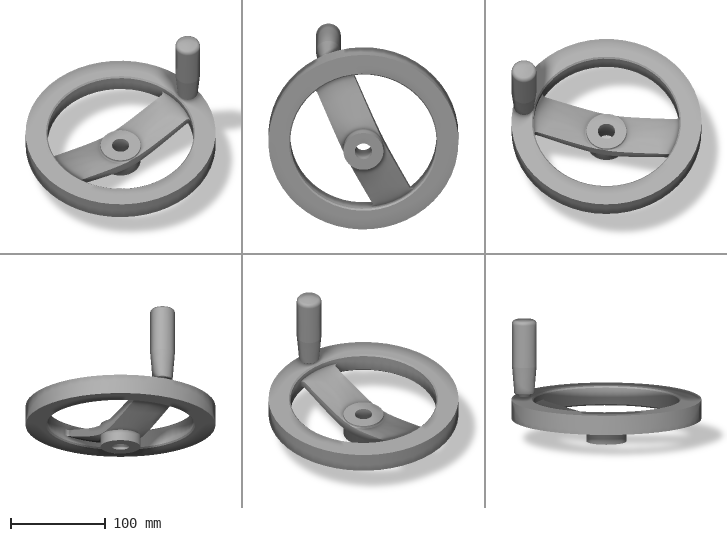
import cadquery as cq
import math

rim_outer_radius = 100.0
rim_inner_radius = 77.0
rim_bottom = 24.5
rim_top = 45.0
rim_chamfer = 1.5

hub_radius = 21.0
hub_top = 24.5
hub_fillet = 1.3
bore_diameter = 18.0

spoke_width = 43.0
spoke_corner_fillet = 3.0
web_lower_hub_height = 11.7
web_lower_angle = 19.0
web_upper_hub_height = 21.6
web_upper_angle = 16.0
web_rim_overlap = 1.5

handle_offset = 88.5
neck_radius = 6.5
grip_bottom = 47.7
grip_foot_radius = 10.6
grip_foot_chamfer = 0.7
grip_taper_top = 77.2
grip_radius = 13.0
handle_top = 127.5
dome_edge_radius = 10.0
dome_height = 1.2
grip_end_fillet = 4.0


def make_rim():
    ring = (
        cq.Workplane("XY", origin=(0, 0, rim_bottom))
        .circle(rim_outer_radius)
        .circle(rim_inner_radius)
        .extrude(rim_top - rim_bottom)
    )
    inner_edges = cq.selectors.RadiusNthSelector(0)
    return ring.edges(inner_edges).chamfer(rim_chamfer)


def make_web():
    """Conical dish from the axis to inside the rim."""
    outer = rim_inner_radius + web_rim_overlap
    run = outer - hub_radius
    lower_rise = run * math.tan(math.radians(web_lower_angle))
    upper_rise = run * math.tan(math.radians(web_upper_angle))
    return (
        cq.Workplane("XZ")
        .moveTo(0, web_lower_hub_height)
        .lineTo(hub_radius, web_lower_hub_height)
        .lineTo(outer, web_lower_hub_height + lower_rise)
        .lineTo(outer, web_upper_hub_height + upper_rise)
        .lineTo(hub_radius, web_upper_hub_height)
        .lineTo(0, web_upper_hub_height)
        .close()
        .revolve(360, (0, 0), (0, 1))
    )


def make_spoke_planform():
    """Prism of the spoke outline, flared by fillets where it meets the rim."""
    opening = cq.Workplane("XY").circle(rim_inner_radius).extrude(rim_top)
    strip = cq.Workplane("XY").rect(spoke_width, 2 * rim_outer_radius).extrude(rim_top)
    windows = opening.cut(strip).edges("|Z").fillet(spoke_corner_fillet)
    return cq.Workplane("XY").circle(rim_outer_radius).extrude(rim_top).cut(windows)


def make_hub():
    return cq.Workplane("XY").circle(hub_radius).extrude(hub_top)


def make_hub_fillet():
    """Concave ring that blends the hub into the upper side of the web."""
    slope = math.radians(web_upper_angle)
    centre_r = hub_radius + hub_fillet
    centre_z = web_upper_hub_height + hub_fillet * (math.tan(slope) + 1 / math.cos(slope))
    foot = (centre_r + hub_fillet * math.sin(slope), centre_z - hub_fillet * math.cos(slope))
    middle_angle = (math.pi + 1.5 * math.pi + slope) / 2
    middle = (
        centre_r + hub_fillet * math.cos(middle_angle),
        centre_z + hub_fillet * math.sin(middle_angle),
    )
    return (
        cq.Workplane("XZ")
        .moveTo(hub_radius, web_upper_hub_height)
        .lineTo(*foot)
        .threePointArc(middle, (hub_radius, centre_z))
        .close()
        .revolve(360, (0, 0), (0, 1))
    )


def make_handle():
    """Revolved grip and neck; the neck starts inside the rim."""
    neck_root = (rim_bottom + rim_top) / 2
    dome_radius = (dome_edge_radius**2 + dome_height**2) / (2 * dome_height)
    half_chord_angle = math.asin(dome_edge_radius / dome_radius) / 2
    dome_middle = (
        dome_radius * math.sin(half_chord_angle),
        handle_top - dome_radius * (1 - math.cos(half_chord_angle)),
    )
    profile = (
        cq.Workplane("XZ")
        .moveTo(0, neck_root)
        .lineTo(neck_radius, neck_root)
        .lineTo(neck_radius, grip_bottom)
        .lineTo(grip_foot_radius - grip_foot_chamfer, grip_bottom)
        .lineTo(grip_foot_radius, grip_bottom + grip_foot_chamfer)
        .lineTo(grip_radius, grip_taper_top)
        .lineTo(grip_radius, handle_top - dome_height - grip_end_fillet)
        .tangentArcPoint((dome_edge_radius, handle_top - dome_height), relative=False)
        .threePointArc(dome_middle, (0, handle_top))
        .close()
    )
    return profile.revolve(360, (0, 0), (0, 1)).translate((0, handle_offset, 0))


spokes = make_web().union(make_hub_fillet()).intersect(make_spoke_planform())
bore = cq.Workplane("XY").circle(bore_diameter / 2).extrude(hub_top)
wheel = make_rim().union(spokes).union(make_hub()).cut(bore)
result = wheel.union(make_handle())